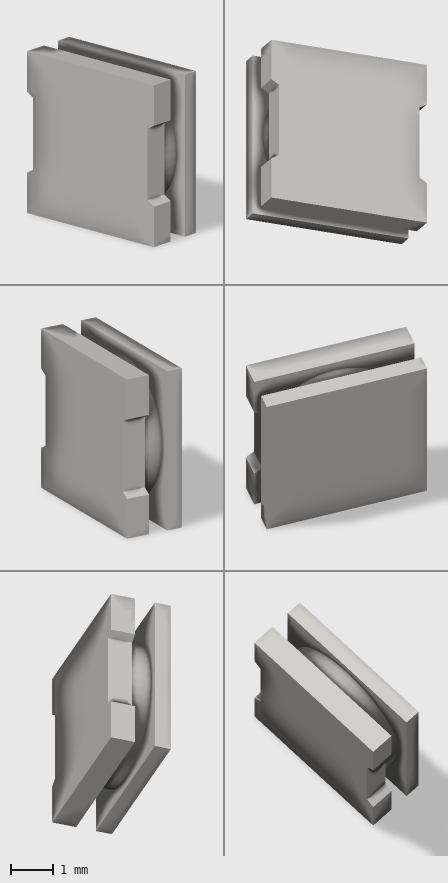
import cadquery as cq
import math

SIDE = 4.0
FRONT_THICKNESS = 0.6
WINDING_LENGTH = 0.5
BACK_THICKNESS = 0.4
WINDING_DIAMETER = 3.5

NOTCH_DEPTH = 0.2
NOTCH_OPENING = 2.0
NOTCH_END_ANGLE = 30.0

PAD_WIDTH = 1.6
PAD_HEIGHT = 1.5
PAD_DEPTH = 0.3
PAD_EDGE_MARGIN = 0.05
PAD_STEP_WIDTH = 0.4
PAD_STEP_HEIGHT = 0.6

HALF_SIDE = SIDE / 2
WINDING_START = FRONT_THICKNESS
BACK_START = WINDING_START + WINDING_LENGTH
CORNERS = [(sx, sz) for sx in (-1, 1) for sz in (-1, 1)]


def extrude_back(profile, start, length):
    """Extrude a closed XZ profile toward +Y, beginning at Y = start."""
    return profile.extrude(-length).translate((0, start, 0))


def make_square_plate(start, thickness):
    return extrude_back(cq.Workplane("XZ").rect(SIDE, SIDE), start, thickness)


def make_notch(side_x):
    """Cutter for the notch on the side given by the sign side_x."""
    outer_x = side_x * HALF_SIDE
    inner_x = side_x * (HALF_SIDE - NOTCH_DEPTH)
    outer_z = NOTCH_OPENING / 2
    inner_z = outer_z - NOTCH_DEPTH * math.tan(math.radians(NOTCH_END_ANGLE))
    profile = cq.Workplane("XZ").polyline([
        (outer_x, -outer_z),
        (inner_x, -inner_z),
        (inner_x, inner_z),
        (outer_x, outer_z),
    ]).close()
    return extrude_back(profile, 0, FRONT_THICKNESS)


def make_pad(side_x, side_z):
    """Pad in one corner, stepped inward where it passes the notch."""
    outer_x = side_x * HALF_SIDE
    step_x = side_x * (HALF_SIDE - PAD_STEP_WIDTH)
    inner_x = side_x * (HALF_SIDE - PAD_WIDTH)
    outer_z = HALF_SIDE - PAD_EDGE_MARGIN
    inner_z = outer_z - PAD_HEIGHT
    step_z = inner_z + PAD_STEP_HEIGHT
    profile = cq.Workplane("XZ").polyline([
        (outer_x, side_z * outer_z),
        (inner_x, side_z * outer_z),
        (inner_x, side_z * inner_z),
        (step_x, side_z * inner_z),
        (step_x, side_z * step_z),
        (outer_x, side_z * step_z),
    ]).close()
    return extrude_back(profile, 0, PAD_DEPTH)


def make_front_plate(pads):
    """Front plate with both side notches and a matching recess for each pad."""
    plate = make_square_plate(0, FRONT_THICKNESS)
    for side_x in (-1, 1):
        plate = plate.cut(make_notch(side_x))
    for pad in pads:
        plate = plate.cut(pad)
    return plate


def make_winding():
    profile = cq.Workplane("XZ").circle(WINDING_DIAMETER / 2)
    return extrude_back(profile, WINDING_START, WINDING_LENGTH)


pads = [make_pad(side_x, side_z) for side_x, side_z in CORNERS]
front_plate = make_front_plate(pads)
winding = make_winding()
back_plate = make_square_plate(BACK_START, BACK_THICKNESS)

result = cq.Compound.makeCompound([
    front_plate.val(),
    winding.val(),
    back_plate.val(),
    *[pad.val() for pad in pads],
])